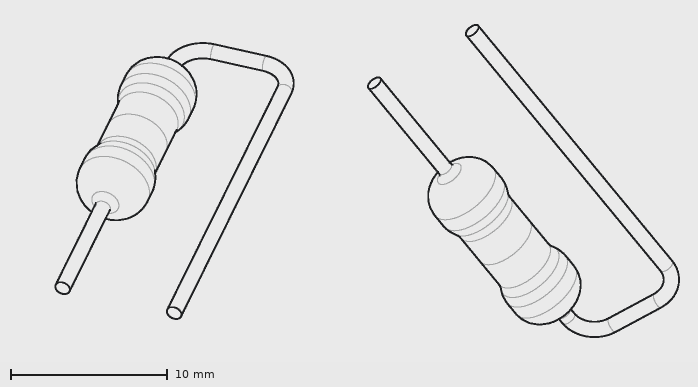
import cadquery as cq
import math


wire_diameter = 1.0
lead_spacing = 7.5
bend_radius = 2.0
total_length = 24.8
crossbar_y = 9.35

cap_diameter = 4.8
waist_diameter = 4.1
waist_half_length = 2.2
cap_inner_y = 3.62
cap_outer_y = 4.65
dome_radius = 1.7
lead_fillet_radius = 0.47

wire_radius = wire_diameter / 2
cap_radius = cap_diameter / 2
waist_radius = waist_diameter / 2
bend_end_y = crossbar_y - bend_radius
lead_tip_y = crossbar_y + wire_radius - total_length


def arc_middle(center, start, end):
    """Point halfway along the shorter arc from start to end about center."""
    cx, cy = center
    radius = math.dist(center, start)
    chord_x = (start[0] + end[0]) / 2 - cx
    chord_y = (start[1] + end[1]) / 2 - cy
    stretch = radius / math.hypot(chord_x, chord_y)
    return (cx + chord_x * stretch, cy + chord_y * stretch)


def make_half_body():
    """Revolve the +Y half: waist, flared shoulder, cap, dome and lead fillet."""
    flare_length = cap_inner_y - waist_half_length
    flare_height = cap_radius - waist_radius
    flare_radius = (flare_length**2 + flare_height**2) / (4 * flare_height)
    waist_end = (waist_radius, waist_half_length)
    cap_start = (cap_radius, cap_inner_y)
    flare_middle = (
        (waist_radius + cap_radius) / 2,
        (waist_half_length + cap_inner_y) / 2,
    )
    waist_arc_center = (waist_radius + flare_radius, waist_half_length)
    cap_arc_center = (cap_radius - flare_radius, cap_inner_y)

    cap_end = (cap_radius, cap_outer_y)
    dome_center = (cap_radius - dome_radius, cap_outer_y)
    fillet_center_x = wire_radius + lead_fillet_radius
    center_distance = dome_radius + lead_fillet_radius
    center_offset_x = fillet_center_x - dome_center[0]
    center_offset_y = math.sqrt(center_distance**2 - center_offset_x**2)
    fillet_center = (fillet_center_x, cap_outer_y + center_offset_y)
    dome_share = dome_radius / center_distance
    dome_end = (
        dome_center[0] + center_offset_x * dome_share,
        dome_center[1] + center_offset_y * dome_share,
    )
    fillet_end = (wire_radius, fillet_center[1])

    return (
        cq.Workplane("XY")
        .lineTo(waist_radius, 0)
        .lineTo(*waist_end)
        .threePointArc(arc_middle(waist_arc_center, waist_end, flare_middle), flare_middle)
        .threePointArc(arc_middle(cap_arc_center, flare_middle, cap_start), cap_start)
        .lineTo(*cap_end)
        .threePointArc(arc_middle(dome_center, cap_end, dome_end), dome_end)
        .threePointArc(arc_middle(fillet_center, dome_end, fillet_end), fillet_end)
        .lineTo(0, fillet_end[1])
        .close()
        .revolve(360, (0, 0), (0, 1))
    )


def make_lead():
    """Sweep the wire through the body, around both bends and back."""
    path = (
        cq.Workplane("XY")
        .moveTo(0, lead_tip_y)
        .lineTo(0, bend_end_y)
        .tangentArcPoint((bend_radius, crossbar_y), relative=False)
        .lineTo(lead_spacing - bend_radius, crossbar_y)
        .tangentArcPoint((lead_spacing, bend_end_y), relative=False)
        .lineTo(lead_spacing, lead_tip_y)
    )
    return (
        cq.Workplane("XZ", origin=(0, lead_tip_y, 0))
        .circle(wire_radius)
        .sweep(path)
    )


half_body = make_half_body()
body = half_body.union(half_body.mirror("XZ"))
result = body.union(make_lead())